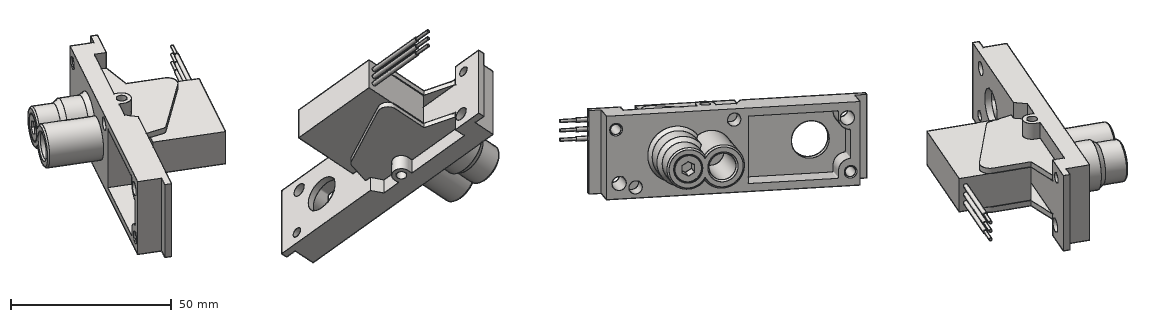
import cadquery as cq
import math


plate_length = 88.45
body_length = 80.7
plate_height = 27.0
plate_depth = 9.9
flange_thickness = 2.2
flange_front = plate_depth - flange_thickness

tapped_diameter = 3.3
tapped_chamfer = 0.4
tapped_x = 37.3
tapped_z = 9.0
clearance_diameter = 4.5
clearance_x = 36.3
clearance_z = 8.4
pin_hole_diameter = 4.2
pin_hole_depth = 5.5
pin_hole_places = [(0.3, 10.0), (-31.1, -10.0)]

pocket_left = 4.8
pocket_right = tapped_x
pocket_shoulder = 33.5
pocket_height = 21.7
pocket_depth = flange_front
pocket_post_radius = pocket_right - pocket_shoulder
pocket_post_z = 8.5
pocket_corner_radius = 0.5
window_diameter = 12.0
window_x = 26.2

boss_length = 17.9
end_chamfer = 0.55
stepped_x = -18.3
stepped_base_radius = 9.0
stepped_middle_radius = 8.0
stepped_end_radius = 6.7
cone_length = 1.8
middle_end = 8.6
plug_diameter = 9.2
plug_groove_width = 0.32
plug_groove_depth = 0.55
hex_across_flats = 4.0
hex_depth = 4.6
tube_x = -7.25
tube_radius = 7.0
bore_diameter = 8.5
bore_chamfer = 0.55
bore_depth = boss_length

arm_outer_z = 7.9
arm_thickness = 1.9
arm_left = -23.4
arm_foot_left = -33.5
arm_shoulder_y = 13.5
arm_peak_y = 30.9
arm_corner_x = 4.3
arm_corner_y = 18.7
arm_right = 6.5
arm_peak_radius = 3.3
arm_corner_radius = 1.9

recess_floor = 6.1
recess_left = -33.8
recess_right_floor = 2.3
recess_right_back = 4.4

lug_radius = 3.0
lug_hole_diameter = 3.3

switch_left = -23.1
switch_right = 8.4
switch_front = arm_shoulder_y
switch_back = 37.0
wire_y = 34.9
wire_pitch = 3.0
wire_diameter = 1.5
core_diameter = 1.0
sheath_end = -42.4
overall_length = 91.75
core_end = plate_length / 2 - overall_length


def slab(x_range, y_range, height):
    """Block centred on Z = 0."""
    (x0, x1), (y0, y1) = x_range, y_range
    block = cq.Workplane("XY").box(x1 - x0, y1 - y0, height, centered=(False, False, True))
    return block.translate((x0, y0, 0))


def rod_y(x, z, diameter, y_start, y_end):
    """Cylinder along +Y."""
    plane = cq.Plane(origin=(x, y_start, z), xDir=(1, 0, 0), normal=(0, 1, 0))
    return cq.Workplane(plane).circle(diameter / 2).extrude(y_end - y_start)


def revolve_y(x, profile):
    """Turn a (radius, y) profile about the Y direction at the given X."""
    outline = cq.Workplane("XY").polyline(profile).close()
    return outline.revolve(360, (0, 0), (0, 1)).translate((x, 0, 0))


def make_plate():
    body = slab((-body_length / 2, body_length / 2), (0, plate_depth), plate_height)
    flange = slab((-plate_length / 2, plate_length / 2), (flange_front, plate_depth), plate_height)
    return body.union(flange)


def make_recess():
    """Cut on both sides of the arms, with a narrow gap in front of each arm's foot."""
    outline = [
        (recess_left, plate_depth),
        (recess_left, recess_floor),
        (recess_right_floor, recess_floor),
        (recess_right_back, plate_depth),
    ]
    full = cq.Workplane("XY").polyline(outline).close().extrude(plate_height / 2, both=True)
    depth_range = (recess_floor, plate_depth)
    arm_inner_z = arm_outer_z - arm_thickness
    core = slab((recess_left, recess_right_back), depth_range, 2 * arm_inner_z)
    arm_zone = slab((arm_foot_left, recess_right_back), depth_range, 2 * arm_outer_z)
    return full.cut(core).cut(arm_zone)


def make_lug():
    lug_y = flange_front
    block = slab((tube_x - lug_radius, tube_x + lug_radius), (recess_floor, lug_y), plate_height)
    round_end = cq.Workplane("XY").center(tube_x, lug_y).circle(lug_radius)
    return block.union(round_end.extrude(plate_height / 2, both=True))


def make_lug_hole():
    hole = cq.Workplane("XY").center(tube_x, flange_front).circle(lug_hole_diameter / 2)
    return hole.extrude(plate_height / 2, both=True)


def make_arms():
    outline = [
        (arm_foot_left, recess_floor),
        (arm_foot_left, plate_depth),
        (arm_left, arm_shoulder_y),
        (arm_left, arm_peak_y),
        (arm_corner_x, arm_corner_y),
        (arm_right, plate_depth),
        (arm_right, recess_floor),
    ]
    arm = cq.Workplane("XY").polyline(outline).close().extrude(arm_thickness)
    corners = [
        (arm_left, arm_peak_y, arm_peak_radius),
        (arm_corner_x, arm_corner_y, arm_corner_radius),
    ]
    for x, y, radius in corners:
        corner = cq.selectors.NearestToPointSelector((x, y, arm_thickness / 2))
        arm = arm.edges(corner).fillet(radius)
    upper = arm.translate((0, 0, arm_outer_z - arm_thickness))
    return upper.union(upper.mirror("XY"))


def make_switch():
    case_height = 2 * (arm_outer_z - arm_thickness)
    switch = slab((switch_left, switch_right), (switch_front, switch_back), case_height)
    for row in (-1, 0, 1):
        wire_root = (switch_left, wire_y, row * wire_pitch)
        start = cq.Plane(origin=wire_root, xDir=(0, 0, -1), normal=(-1, 0, 0))
        sheath = cq.Workplane(start).circle(wire_diameter / 2).extrude(switch_left - sheath_end)
        core = cq.Workplane(start).circle(core_diameter / 2).extrude(switch_left - core_end)
        switch = switch.union(sheath).union(core)
    return switch


def make_bosses():
    stepped = revolve_y(stepped_x, [
        (0, 0),
        (stepped_base_radius, 0),
        (stepped_middle_radius, -cone_length),
        (stepped_middle_radius, -middle_end),
        (stepped_end_radius, -middle_end - cone_length),
        (stepped_end_radius, end_chamfer - boss_length),
        (stepped_end_radius - end_chamfer, -boss_length),
        (0, -boss_length),
    ])
    tube = rod_y(tube_x, 0, 2 * tube_radius, -boss_length, 0).faces("<Y").chamfer(end_chamfer)
    return stepped.union(tube)


def make_boss_cuts():
    front = -boss_length
    bore = rod_y(tube_x, 0, bore_diameter, front, front + bore_depth)
    bore_radius = bore_diameter / 2
    countersink = revolve_y(tube_x, [
        (0, front),
        (bore_radius + bore_chamfer, front),
        (bore_radius, front + bore_chamfer),
        (0, front + bore_chamfer),
    ])
    groove_end = front + plug_groove_depth
    groove_inner_diameter = plug_diameter - 2 * plug_groove_width
    groove = rod_y(stepped_x, 0, plug_diameter, front, groove_end)
    groove = groove.cut(rod_y(stepped_x, 0, groove_inner_diameter, front, groove_end))
    hex_plane = cq.Plane(origin=(stepped_x, front, 0), xDir=(0, 0, 1), normal=(0, 1, 0))
    hex_across_corners = hex_across_flats / math.cos(math.pi / 6)
    socket = cq.Workplane(hex_plane).polygon(6, hex_across_corners).extrude(hex_depth)
    return bore.union(countersink).union(groove).union(socket)


def make_plate_holes():
    tapped_radius = tapped_diameter / 2
    holes = rod_y(window_x, 0, window_diameter, 0, plate_depth)
    for side in (-1, 1):
        clearance = rod_y(side * clearance_x, side * clearance_z, clearance_diameter, 0, plate_depth)
        holes = holes.union(clearance)
        tapped = revolve_y(side * tapped_x, [
            (0, 0),
            (tapped_radius + tapped_chamfer, 0),
            (tapped_radius, tapped_chamfer),
            (tapped_radius, plate_depth),
            (0, plate_depth),
        ])
        holes = holes.union(tapped.translate((0, 0, -side * tapped_z)))
    for x, z in pin_hole_places:
        holes = holes.union(rod_y(x, z, pin_hole_diameter, 0, pin_hole_depth))
    return holes


def make_pocket():
    """Rectangle with a narrower end, rounded around the two corner posts."""
    main = slab((pocket_left, pocket_shoulder), (0, pocket_depth), pocket_height)
    end = slab((pocket_left, pocket_right), (0, pocket_depth), 2 * pocket_post_z)
    for z in (-pocket_post_z, pocket_post_z):
        end = end.cut(rod_y(pocket_right, z, 2 * pocket_post_radius, 0, pocket_depth))
    main = main.edges(">X and |Y").fillet(pocket_corner_radius)
    end = end.edges(">X and |Y").fillet(pocket_corner_radius)
    return main.union(end)


result = (
    make_plate()
    .cut(make_recess())
    .union(make_arms())
    .union(make_lug())
    .union(make_switch())
    .union(make_bosses())
    .cut(make_boss_cuts())
    .cut(make_pocket())
    .cut(make_plate_holes())
    .cut(make_lug_hole())
)